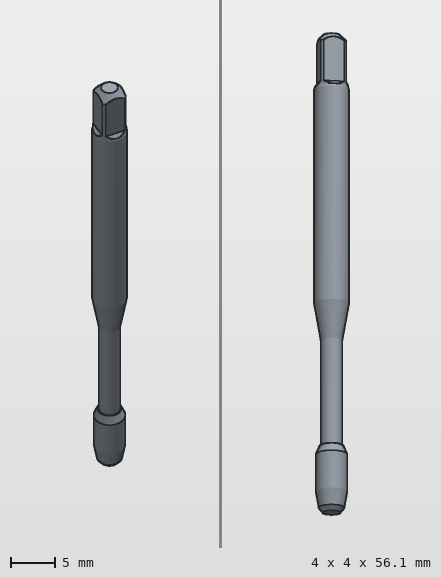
import cadquery as cq

TOTAL_LENGTH = 56.1
TIP_CHAMFER_TOP = 0.55
LEAD_TOP = 2.45
HEAD_TOP = 6.85
HEAD_SHOULDER_TOP = 7.85
NECK_TOP = 20.25
TAPER_TOP = 24.55
GRIP_TOP = 49.65
RIM_TOP = 49.95

TIP_END_DIAMETER = 2.0
LEAD_DIAMETER = 2.9
HEAD_DIAMETER = 3.6
NECK_DIAMETER = 2.45
SHOULDER_DIAMETER = 2.7
GRIP_DIAMETER = 4.0
DRIVE_DIAMETER = 3.8
DRIVE_END_DIAMETER = 1.9

DRIVE_ACROSS_FLATS = 3.0
END_CHAMFER_TOP_RADIUS = DRIVE_END_DIAMETER / 2
END_CHAMFER_HEIGHT = DRIVE_DIAMETER / 2 - END_CHAMFER_TOP_RADIUS
LEDGE_RISE = (DRIVE_DIAMETER - DRIVE_ACROSS_FLATS) / 2


def turned(stations):
    """Revolve a solid about Z from (diameter, z) stations listed upward."""
    outline = [(diameter / 2, z) for diameter, z in stations]
    bottom = (0, outline[0][1])
    top = (0, outline[-1][1])
    return (
        cq.Workplane("XZ")
        .polyline([bottom, *outline, top])
        .close()
        .revolve(360, (0, 0, 0), (0, 1, 0))
    )


def make_tip():
    """Cutting head with a tapered lead and a sloping shoulder."""
    return turned([
        (TIP_END_DIAMETER, 0),
        (LEAD_DIAMETER, TIP_CHAMFER_TOP),
        (HEAD_DIAMETER, LEAD_TOP),
        (HEAD_DIAMETER, HEAD_TOP),
        (SHOULDER_DIAMETER, HEAD_SHOULDER_TOP),
    ])


def flat_cutter():
    """Material removed beside the +X flat, with a sloping run-out at its foot."""
    flat_x = DRIVE_ACROSS_FLATS / 2
    corner_x = DRIVE_DIAMETER / 2
    outer_x = GRIP_DIAMETER
    return (
        cq.Workplane("XZ")
        .moveTo(flat_x, TOTAL_LENGTH)
        .lineTo(flat_x, RIM_TOP + LEDGE_RISE)
        .lineTo(corner_x, RIM_TOP)
        .lineTo(outer_x, RIM_TOP)
        .lineTo(outer_x, TOTAL_LENGTH)
        .close()
        .extrude(GRIP_DIAMETER, both=True)
    )


def make_shank():
    """Slim neck, taper and grip, ending in a square drive."""
    shank = turned([
        (NECK_DIAMETER, HEAD_SHOULDER_TOP),
        (NECK_DIAMETER, NECK_TOP),
        (GRIP_DIAMETER, TAPER_TOP),
        (GRIP_DIAMETER, GRIP_TOP),
        (DRIVE_DIAMETER, RIM_TOP),
        (DRIVE_DIAMETER, TOTAL_LENGTH - END_CHAMFER_HEIGHT),
        (DRIVE_END_DIAMETER, TOTAL_LENGTH),
    ])
    for angle in (0, 90, 180, 270):
        shank = shank.cut(flat_cutter().rotate((0, 0, 0), (0, 0, 1), angle))
    return shank


tip = make_tip()
shank = make_shank()
result = cq.Compound.makeCompound([tip.val(), shank.val()])